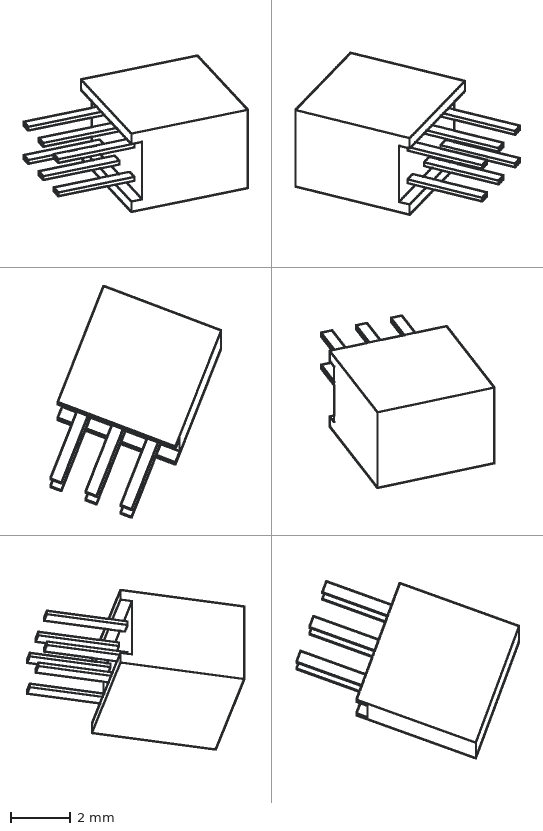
import cadquery as cq

body_width = 4.27
total_length = 6.7
body_height = 3.0
pin_protrusion = 2.4
body_length = total_length - pin_protrusion

channel_depth = 0.4
lip_thickness = 0.4
channel_height = body_height - 2 * lip_thickness

pin_width = 0.4
pin_thickness = 0.15
pin_pitch = 1.27
pin_columns = 3
pin_rows = 2
pin_length = pin_protrusion + channel_depth


def make_body():
    """Block with its lip edges at Y = 0 and a full-width channel between them."""
    centering = (True, False, True)
    block = cq.Workplane("XY").box(body_width, body_length, body_height, centered=centering)
    channel = cq.Workplane("XY").box(body_width, channel_depth, channel_height, centered=centering)
    return block.cut(channel)


def make_pins():
    """Grid of pins running from the channel floor toward -Y."""
    return (
        cq.Workplane("XZ", origin=(0, channel_depth, 0))
        .rarray(pin_pitch, pin_pitch, pin_columns, pin_rows)
        .rect(pin_width, pin_thickness)
        .extrude(pin_length)
    )


result = make_body().union(make_pins())